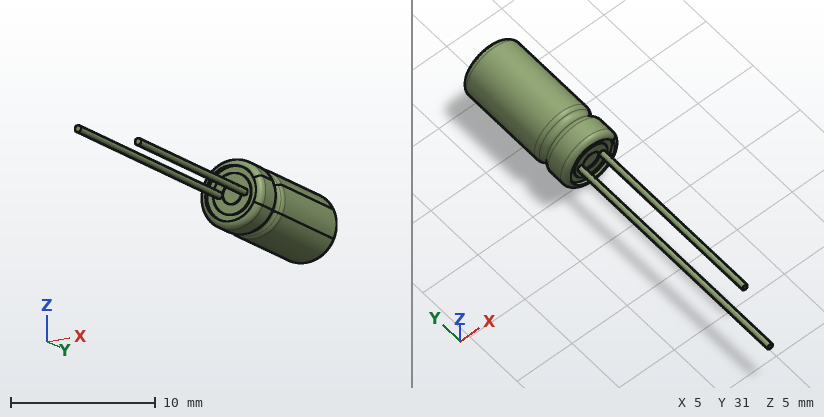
import cadquery as cq
import math

can_radius = 2.5
can_length = 11.0
edge_radius = 0.5
core_radius = can_radius - edge_radius

groove_center = 2.55
groove_half_width = 0.75
groove_depth = 0.28

stripe_angle = 50.0

core_recess = 0.3
plug_radius = 1.5
plug_recess = 0.2
plug_thickness = 1.0
dimple_radius = 0.75
dimple_depth = 0.1

lead_radius = 0.25
lead_offset = 1.0
long_lead_end = can_length - 31.0
short_lead_end = -15.0


def arc_middle(start, end, radius, side):
    """Middle point of an arc; side +1 bulges to the left of start-to-end, -1 to the right."""
    dx = end[0] - start[0]
    dy = end[1] - start[1]
    chord = math.hypot(dx, dy)
    bulge = radius - math.sqrt(radius**2 - (chord / 2) ** 2)
    middle_x = (start[0] + end[0]) / 2
    middle_y = (start[1] + end[1]) / 2
    return (middle_x - side * bulge * dy / chord, middle_y + side * bulge * dx / chord)


def sleeve_profile():
    """Half section of the sleeve in the XY plane, from the core out to the grooved skin."""
    arc_dx = groove_depth / 2
    arc_dy = groove_half_width / 2
    arc_radius = (arc_dx**2 + arc_dy**2) / (2 * arc_dx)
    corner_inset = edge_radius * (1 - math.sqrt(0.5))

    start = (can_radius, groove_center - groove_half_width)
    lower = (can_radius - arc_dx, groove_center - arc_dy)
    floor = (can_radius - groove_depth, groove_center)
    upper = (can_radius - arc_dx, groove_center + arc_dy)
    end = (can_radius, groove_center + groove_half_width)

    return (
        cq.Workplane("XY")
        .moveTo(core_radius, 0)
        .threePointArc((can_radius - corner_inset, corner_inset), (can_radius, edge_radius))
        .lineTo(*start)
        .threePointArc(arc_middle(start, lower, arc_radius, -1), lower)
        .threePointArc(arc_middle(lower, floor, arc_radius, 1), floor)
        .threePointArc(arc_middle(floor, upper, arc_radius, 1), upper)
        .threePointArc(arc_middle(upper, end, arc_radius, -1), end)
        .lineTo(can_radius, can_length - edge_radius)
        .threePointArc((can_radius - corner_inset, can_length - corner_inset), (core_radius, can_length))
        .close()
    )


def sleeve_sector(start_angle, sweep):
    """Sleeve section turned about Y through sweep, starting at start_angle from +X."""
    sector = sleeve_profile().revolve(sweep, (0, 0, 0), (0, 1, 0))
    return sector.rotate((0, 0, 0), (0, 1, 0), start_angle)


def cylinder(radius, y_start, y_end, x=0.0):
    """Cylinder along Y between two heights, with its axis at the given X."""
    base = cq.Workplane("XZ", origin=(x, y_start, 0))
    return base.circle(radius).extrude(y_start - y_end)


def make_core():
    """Inner can, with a pocket for the plug in its recessed lead-side face."""
    core = cylinder(core_radius, core_recess, can_length)
    return core.cut(cylinder(plug_radius, core_recess, plug_recess + plug_thickness))


def make_plug():
    """Rubber plug with a round dimple in the middle."""
    plug = cylinder(plug_radius, plug_recess, plug_recess + plug_thickness)
    return plug.cut(cylinder(dimple_radius, plug_recess, plug_recess + dimple_depth))


def make_lead(x, end):
    """Straight lead that stands on the face of the plug."""
    return cylinder(lead_radius, end, plug_recess, x)


sleeve = sleeve_sector(stripe_angle / 2, 360 - stripe_angle)
stripe = sleeve_sector(-stripe_angle / 2, stripe_angle)
core = make_core()
plug = make_plug()
leads = [make_lead(x, end) for x, end in ((-lead_offset, long_lead_end), (lead_offset, short_lead_end))]

bodies = [sleeve, stripe, core, plug, *leads]
result = cq.Compound.makeCompound([body.val() for body in bodies])